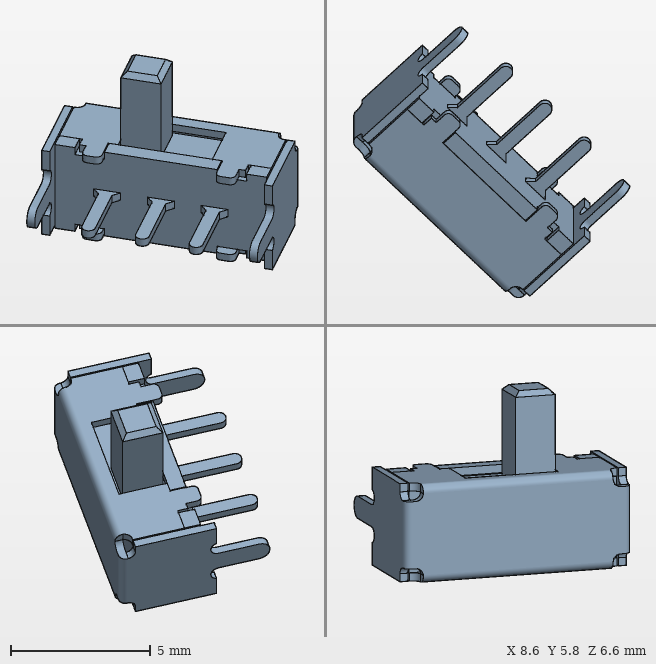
import cadquery as cq


shell_length = 8.6
shell_height = 3.6
overall_height = 6.6
overall_depth = 5.8
half_height = shell_height / 2

sheet = 0.3
flap_bend_radius = 0.26
lid_half_length = 3.95
lid_depth = 2.5
flap_depth = 3.6
relief_radius = 0.3
relief_inset = 0.27
relief_end_inset = 0.395

tab_inner = 2.13
tab_outer = 2.855
tab_step_outer = 3.1
tab_step_depth = 2.88
tab_depth = 3.5
tab_corner_radius = 0.21

prong_width = 0.82
prong_tip_depth = 5.6
notch_radius = 0.28
notch_depth = 3.67

window_length = 3.51
window_back = 0.7

base_back = 0.6
base_front = 3.105
recess_inner = 2.1
recess_outer = 3.2
track_half_length = 2.0
track_drop = 0.07

pin_pitch = 2.0
pin_width = 0.5
pin_root_width = 1.01
pin_thickness = 0.31

slider_size = 1.505
slider_left = -1.7
slider_back = 0.85
slider_chamfer = 0.2
slider_front = slider_back + slider_size

lid_underside = half_height - sheet
track_floor = lid_underside - track_drop


def block(x_range, depth_range, z_range):
    """Box between two X values, two depths and two Z values."""
    length = x_range[1] - x_range[0]
    depth = depth_range[1] - depth_range[0]
    height = z_range[1] - z_range[0]
    corner = (x_range[0], -depth_range[1], z_range[0])
    return cq.Workplane("XY").box(length, depth, height, centered=False).translate(corner)


def mirrored_in_x(half):
    return half.union(half.mirror("YZ"))


def mirrored_in_z(half):
    return half.union(half.mirror("XY"))


def folded_box():
    """Back wall with top and bottom lids and two end flaps, all bent from one sheet."""
    half_length = shell_length / 2
    inner_half_length = half_length - sheet
    full_height = (-half_height, half_height)

    outside = block((-half_length, half_length), (0, flap_depth), full_height)
    lid_bends = outside.edges("|X and >Y").fillet(sheet)
    flap_bends = outside.edges("|Z and >Y").fillet(flap_bend_radius)
    box = lid_bends.intersect(flap_bends)

    inner_x = (-inner_half_length, inner_half_length)
    box = box.cut(block(inner_x, (sheet, flap_depth), (-lid_underside, lid_underside)))
    box = box.cut(block(inner_x, (lid_depth, flap_depth), full_height))
    gap_beside_lid = block((lid_half_length, inner_half_length), (sheet, flap_depth), full_height)
    return box.cut(mirrored_in_x(gap_beside_lid))


def relief_cut(plane, first_inset, second_inset):
    """Sheet-deep corner cut with a concave round, starting from the plane's origin corner."""
    diagonal = relief_radius / 2 ** 0.5
    return (
        cq.Workplane(plane)
        .lineTo(first_inset + relief_radius, 0)
        .lineTo(first_inset + relief_radius, second_inset)
        .threePointArc(
            (first_inset + diagonal, second_inset + diagonal),
            (first_inset, second_inset + relief_radius),
        )
        .lineTo(0, second_inset + relief_radius)
        .close()
        .extrude(sheet)
    )


def corner_reliefs():
    """Bend reliefs through lid, back wall and flap at the four back corners."""
    corner = (-shell_length / 2, 0, half_height)
    right, forward, down = (1, 0, 0), (0, -1, 0), (0, 0, -1)
    in_lid = relief_cut(cq.Plane(corner, right, down), relief_end_inset, relief_inset)
    in_flap = relief_cut(cq.Plane(corner, forward, right), relief_inset, relief_inset)
    lower_corner = (-shell_length / 2, 0, -half_height)
    in_back = relief_cut(cq.Plane(lower_corner, right, forward), relief_end_inset, relief_inset)
    return mirrored_in_x(mirrored_in_z(in_lid.union(in_flap).union(in_back)))


def lid_tabs():
    """Two stepped tabs on the front edge of each lid."""
    tab = block((tab_inner, tab_outer), (lid_depth, tab_depth), (lid_underside, half_height))
    tab = tab.edges("|Z and <Y").fillet(tab_corner_radius)
    step = block((tab_outer, tab_step_outer), (lid_depth, tab_step_depth), (lid_underside, half_height))
    return mirrored_in_x(mirrored_in_z(tab.union(step)))


def prongs():
    """One round-ended prong on each end flap, with a wide root that the notches narrow."""
    half_width = prong_width / 2
    half_root = half_width + notch_radius
    tip_start = prong_tip_depth - half_width
    prong = (
        cq.Workplane("YZ", origin=(shell_length / 2 - sheet, 0, 0))
        .moveTo(-flap_depth, -half_root)
        .lineTo(-notch_depth, -half_root)
        .lineTo(-notch_depth, -half_width)
        .lineTo(-tip_start, -half_width)
        .threePointArc((-prong_tip_depth, 0), (-tip_start, half_width))
        .lineTo(-notch_depth, half_width)
        .lineTo(-notch_depth, half_root)
        .lineTo(-flap_depth, half_root)
        .close()
        .extrude(sheet)
    )
    return mirrored_in_x(prong)


def prong_notches():
    """Round notches in the front edges of the flaps, tangent to the prong sides."""
    notch_offset = prong_width / 2 + notch_radius
    return (
        cq.Workplane("YZ")
        .pushPoints([(-notch_depth, notch_offset), (-notch_depth, -notch_offset)])
        .circle(notch_radius)
        .extrude(shell_length / 2, both=True)
    )


def window():
    half_window = window_length / 2
    return block((-half_window, half_window), (window_back, lid_depth), (lid_underside, half_height))


def make_shell():
    shell = folded_box().union(lid_tabs()).union(prongs())
    return shell.cut(corner_reliefs()).cut(prong_notches()).cut(window()).solids()


def pin(x_center):
    """Flat pin with a flared root on the base front and a round tip."""
    half_width = pin_width / 2
    half_root = pin_root_width / 2
    flare_end = base_front + half_root - half_width
    tip_start = overall_depth - half_width
    return (
        cq.Workplane("XY", origin=(x_center, 0, -pin_thickness / 2))
        .moveTo(-half_root, -base_front)
        .lineTo(-half_width, -flare_end)
        .lineTo(-half_width, -tip_start)
        .threePointArc((0, -overall_depth), (half_width, -tip_start))
        .lineTo(half_width, -flare_end)
        .lineTo(half_root, -base_front)
        .close()
        .extrude(pin_thickness)
    )


def make_base():
    x_range = (-lid_half_length, lid_half_length)
    base = block(x_range, (base_back, lid_depth), (-lid_underside, lid_underside))
    base = base.union(block(x_range, (lid_depth, base_front), (-half_height, half_height)))

    tab_recess = block((recess_inner, recess_outer), (lid_depth, base_front), (lid_underside, half_height))
    base = base.cut(mirrored_in_x(mirrored_in_z(tab_recess)))

    track_x = (-track_half_length, track_half_length)
    base = base.cut(block(track_x, (window_back, slider_front), (track_floor, lid_underside)))

    for x_center in (-pin_pitch, 0, pin_pitch):
        base = base.union(pin(x_center))
    return base.solids()


def make_slider():
    """Square post standing on the floor of the base track."""
    slider_top = overall_height - half_height
    post = block(
        (slider_left, slider_left + slider_size),
        (slider_back, slider_front),
        (track_floor, slider_top),
    )
    return post.faces(">Z").chamfer(slider_chamfer).solids()


shell = make_shell()
base = make_base()
slider = make_slider()

result = cq.Compound.makeCompound([shell.val(), base.val(), slider.val()])